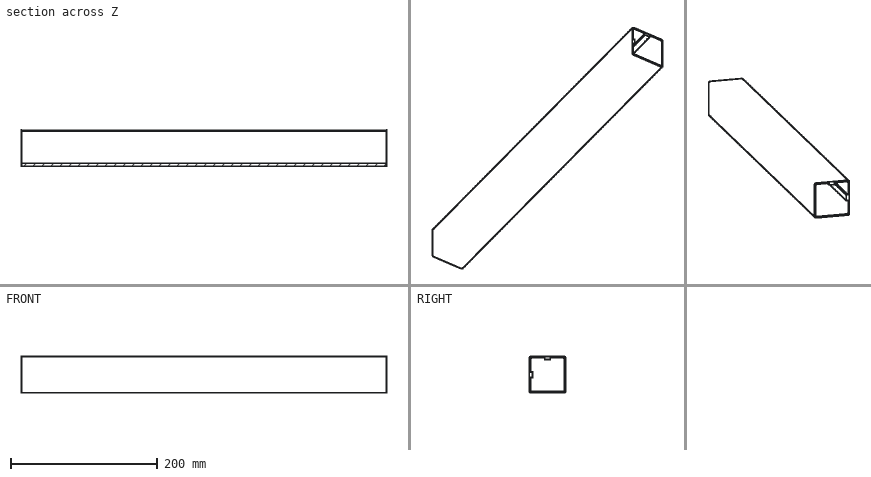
import cadquery as cq

length = 500.0
side = 50.0
wall = 2.0
outer_radius = 3.0
inner_radius = outer_radius - wall

rib_width = 8.0
rib_height = 2.5

inner_side = side - 2 * wall


def square_bar(width, corner_radius):
    """Solid square bar with rounded long edges, centred on the origin."""
    bar = cq.Workplane("XY").box(length, width, width)
    return bar.edges("|X").fillet(corner_radius)


def top_rib():
    """Rib hanging from the inside of the +Z wall along the whole tube."""
    rib_centre = (inner_side - rib_height) / 2
    return cq.Workplane("XY").box(length, rib_width, rib_height).translate((0, 0, rib_centre))


tube = square_bar(side, outer_radius).cut(square_bar(inner_side, inner_radius))

quarter_turn = 90
for angle in (0, quarter_turn):
    tube = tube.union(top_rib().rotate((0, 0, 0), (1, 0, 0), angle))

result = tube